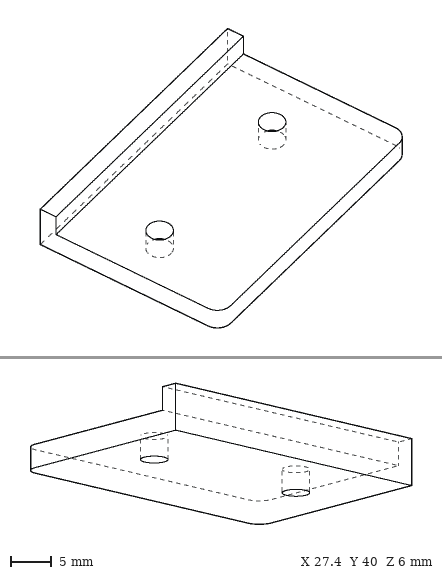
import cadquery as cq

length_x = 27.4
width_y = 40.0
height_z = 6.0

plate_thickness = height_z / 2
lip_thickness = 2.4
corner_radius = 2.0

hole_diameter = 3.4
hole_from_lip_face = 12.4
hole_spacing = 24.0


def make_plate():
    """Flat plate with its two +X corners rounded."""
    plate = cq.Workplane("XY").box(length_x, width_y, plate_thickness, centered=(False, True, False))
    return plate.edges("|Z and >X").fillet(corner_radius)


def make_lip():
    """Full-height strip along the square edge of the plate."""
    return cq.Workplane("XY").box(lip_thickness, width_y, height_z, centered=(False, True, False))


def make_holes():
    """Cylinders that cut the holes through the plate."""
    centers = [(hole_from_lip_face, side * hole_spacing / 2) for side in (-1, 1)]
    return cq.Workplane("XY").pushPoints(centers).circle(hole_diameter / 2).extrude(plate_thickness)


result = make_plate().union(make_lip()).cut(make_holes())